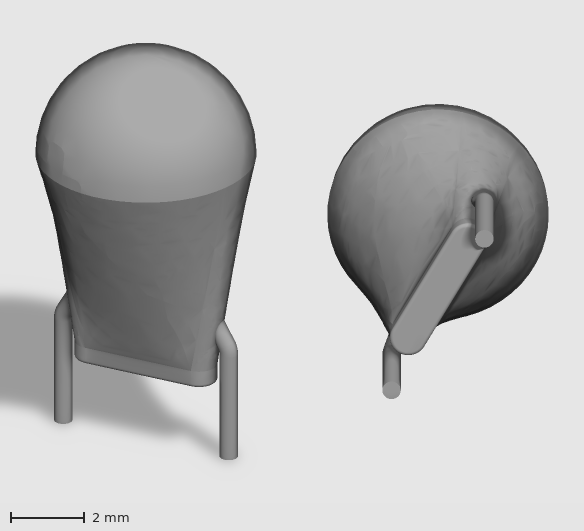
import cadquery as cq
import math


dome_radius = 3.0
standoff = 0.1
base_length = 4.2
base_width = 1.0
base_height = 0.5
base_edge_fillet = 0.1
taper_height = 6.0

lead_diameter = 0.5
lead_pitch = 5.0
lead_depth = 2.0
lead_bend_start = 1.1
lead_bend_radius = 0.5
lead_bend_angle = math.radians(30)
lead_slant_length = 1.5

mark_size = 2.0
mark_arm_width = mark_size / 3
mark_corner_radius = mark_arm_width / 3
mark_x = -dome_radius / 2

base_end_radius = base_width / 2
base_straight_half = base_length / 2 - base_end_radius
taper_bottom = standoff + base_height
equator = taper_bottom + taper_height


def stadium_section(z):
    """Base outline: two straight sides joined by half-round ends."""
    x, y = base_straight_half, base_end_radius
    return (
        cq.Workplane("XY", origin=(0, 0, z))
        .moveTo(x, -y)
        .threePointArc((base_length / 2, 0), (x, y))
        .lineTo(-x, y)
        .threePointArc((-base_length / 2, 0), (-x, -y))
        .close()
    )


def circle_section(z):
    """Equator circle in four arcs, split in line with the corners of the base outline."""
    corner_angle = math.atan2(base_end_radius, base_straight_half)
    x = dome_radius * math.cos(corner_angle)
    y = dome_radius * math.sin(corner_angle)
    return (
        cq.Workplane("XY", origin=(0, 0, z))
        .moveTo(x, -y)
        .threePointArc((dome_radius, 0), (x, y))
        .threePointArc((0, dome_radius), (-x, y))
        .threePointArc((-dome_radius, 0), (-x, -y))
        .threePointArc((0, -dome_radius), (x, -y))
        .close()
    )


def make_base():
    base = stadium_section(standoff).extrude(base_height)
    return base.faces("<Z").edges().fillet(base_edge_fillet)


def make_taper():
    lower = stadium_section(taper_bottom).val()
    upper = circle_section(equator).val()
    return cq.Workplane(cq.Solid.makeLoft([lower, upper], True))


def make_dome():
    return (
        cq.Workplane("XZ", origin=(0, 0, equator))
        .moveTo(0, 0)
        .lineTo(dome_radius, 0)
        .radiusArc((0, dome_radius), -dome_radius)
        .close()
        .revolve(axisStart=(0, 0), axisEnd=(0, 1))
    )


def make_lead(side):
    """Lead at the +X (side = 1) or -X (side = -1) end, bent inwards into the body."""
    lead_x = lead_pitch / 2
    bend_centre_x = lead_x - lead_bend_radius

    def bend_point(angle):
        x = bend_centre_x + lead_bend_radius * math.cos(angle)
        z = lead_bend_start + lead_bend_radius * math.sin(angle)
        return (side * x, z)

    bend_end_x, bend_end_z = bend_point(lead_bend_angle)
    tip_x = bend_end_x - side * lead_slant_length * math.sin(lead_bend_angle)
    tip_z = bend_end_z + lead_slant_length * math.cos(lead_bend_angle)
    path = (
        cq.Workplane("XZ")
        .moveTo(side * lead_x, -lead_depth)
        .lineTo(side * lead_x, lead_bend_start)
        .threePointArc(bend_point(lead_bend_angle / 2), (bend_end_x, bend_end_z))
        .lineTo(tip_x, tip_z)
    )
    profile = cq.Workplane("XY", origin=(side * lead_x, 0, -lead_depth)).circle(lead_diameter / 2)
    return profile.sweep(path)


def make_mark_prism():
    """Plus-shaped prism along Y with rounded arm ends, passing right through the body."""
    plane = cq.Workplane("XZ", origin=(mark_x, 0, equator))
    across = plane.rect(mark_size, mark_arm_width).extrude(dome_radius, both=True)
    upright = plane.rect(mark_arm_width, mark_size).extrude(dome_radius, both=True)
    across = across.edges("|Y").fillet(mark_corner_radius)
    upright = upright.edges("|Y").fillet(mark_corner_radius)
    return across.union(upright)


def imprint_mark(body):
    """Outline the flush mark on the body by splitting its faces, leaving the shape unchanged."""
    prism = make_mark_prism()
    surround = body.cut(prism, clean=False)
    inlay = body.intersect(prism, clean=False)
    return surround.union(inlay, clean=False)


body = make_base().union(make_taper(), clean=False).union(make_dome(), clean=False)
part = imprint_mark(body)
for lead_side in (-1, 1):
    part = part.union(make_lead(lead_side), clean=False)
result = cq.Workplane(part.solids().val())